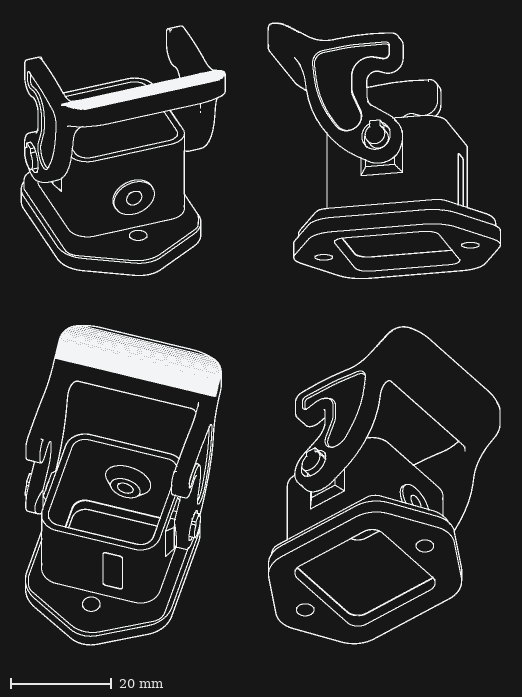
import cadquery as cq
import math

base_length = 41.95
base_width = 30.0
base_thickness = 3.0
base_nose_radius = 5.5
base_corner_radius = 6.5
tier_inset = 1.0
tier_top = 5.6
tier_nose_radius = 6.0
tier_corner_radius = 3.0
tier_edge_radius = 1.0
flank_angle = 60.0
mount_hole_diameter = 3.5
mount_hole_offset = 15.0

housing_side = 24.3
housing_top = 23.7
housing_corner_radius = 4.0
wall = 1.35
base_opening_inset = 0.15
opening_side = housing_side - 2 * wall

boss_z = 13.13
boss_outer_projection = 0.63
boss_outer_width = 8.57
boss_outer_height = 7.7
boss_tip_diameter = 6.1
boss_inner_projection = 2.0
boss_root_diameter = 9.35
boss_bore_diameter = 3.2

label_y = -3.55
label_z = 14.5
label_width = 4.0
label_height = 11.15
label_corner_radius = 0.63
label_depth = 0.1

lever_width = 33.3
arm_thickness = 3.1
arm_inner = lever_width / 2 - arm_thickness
pivot_z = 18.8
pivot_radius = 4.9
lever_edge_radius = 0.4
handle_inner_x = 15.5
handle_end_x = 23.58
handle_inner_corner_radius = 1.88
lever_top = 44.65
lever_back_x = -4.78
hook_tip_end_x = -2.9
hook_tip_height = 13.4

under_slope = 28.0
upper_slope = 33.0
notch_x = 2.7
valley_x = 11.6
valley_z = 39.3
ramp_slope = 0.62
crest_radius = 10.7
crest_x = valley_x + (lever_top - valley_z) / ramp_slope
outline_overrun = 2.25

pad_face = 13.5
pad_projection = pad_face - housing_side / 2
pad_half_width = 4.3
pad_bottom = 12.2
pad_top = 20.85
pin_length = 17.5
front_pin_diameter = 4.5
front_recess_diameter = 6.1
rear_pin_diameter = 4.0
rear_recess_diameter = 5.8
recess_depth = 2.0
key_width = 2.15
key_gap = 0.05

relief_width = 2.05
relief_depth = 1.05

pocket_depth = 0.5
pocket_taper = 28.0

groove_count = 20
groove_start_x = 15.8
groove_end_x = 22.5
groove_overlap_factor = 1.1


def rounded_outline(plane, corners):
    """Closed outline through (x, y, radius) corners; every corner is a tangent arc."""
    arcs = []
    for i, (x, y, radius) in enumerate(corners):
        before = corners[i - 1]
        after = corners[(i + 1) % len(corners)]
        corner = cq.Vector(x, y)
        to_before = (cq.Vector(before[0], before[1]) - corner).normalized()
        to_after = (cq.Vector(after[0], after[1]) - corner).normalized()
        half_angle = to_before.getAngle(to_after) / 2
        setback = radius / math.tan(half_angle)
        bisector = (to_before + to_after).normalized()
        middle = corner + bisector * (radius / math.sin(half_angle) - radius)
        arcs.append((corner + to_before * setback, middle, corner + to_after * setback))
    outline = cq.Workplane(plane).moveTo(arcs[0][0].x, arcs[0][0].y)
    for i, (start, middle, end) in enumerate(arcs):
        if i > 0 and (start - arcs[i - 1][2]).Length > 0.0005:
            outline = outline.lineTo(start.x, start.y)
        outline = outline.threePointArc((middle.x, middle.y), (end.x, end.y))
    return outline.close()


def hexagon_tier(length, width, nose_radius, corner_radius, height):
    """Elongated hexagon with its noses on the X axis, standing on Z = 0."""
    flank = math.radians(flank_angle)
    nose_x = length / 2 + nose_radius * (1 / math.sin(flank) - 1)
    corner_x = nose_x - width / 2 / math.tan(flank)
    corners = [
        (nose_x, 0, nose_radius),
        (corner_x, width / 2, corner_radius),
        (-corner_x, width / 2, corner_radius),
        (-nose_x, 0, nose_radius),
        (-corner_x, -width / 2, corner_radius),
        (corner_x, -width / 2, corner_radius),
    ]
    return rounded_outline("XY", corners).extrude(height)


def square_prism(side, corner_radius, bottom, top):
    prism = cq.Workplane("XY", origin=(0, 0, bottom)).rect(side, side).extrude(top - bottom)
    return prism.edges("|Z").fillet(corner_radius)


def cylinder_y(diameter, y_from, y_to):
    """Cylinder on the pivot axis."""
    plane = cq.Plane(origin=(0, y_from, pivot_z), xDir=(1, 0, 0), normal=(0, 1, 0))
    return cq.Workplane(plane).circle(diameter / 2).extrude(y_to - y_from)


def make_base():
    base = hexagon_tier(base_length, base_width, base_nose_radius, base_corner_radius, base_thickness)
    tier = hexagon_tier(
        base_length - 2 * tier_inset,
        base_width - 2 * tier_inset,
        tier_nose_radius,
        tier_corner_radius,
        tier_top,
    )
    base = base.union(tier.faces(">Z").edges().fillet(tier_edge_radius))
    holes = cq.Workplane("XY").pushPoints([(-mount_hole_offset, 0), (mount_hole_offset, 0)])
    return base.cut(holes.circle(mount_hole_diameter / 2).extrude(tier_top))


def make_pad():
    """Pivot pad on the -Y wall, bevelled at 45 degrees on its sides and underside."""
    height = pad_top - pad_bottom
    root_y = -housing_side / 2
    face_half_width = pad_half_width - pad_projection
    pad = (
        cq.Workplane("XY")
        .box(2 * pad_half_width, pad_projection + wall / 2, height, centered=(True, False, False))
        .translate((0, -pad_face, pad_bottom))
    )
    side_bevel = (
        cq.Workplane("XY", origin=(0, 0, pad_bottom))
        .polyline([(pad_half_width, root_y), (pad_half_width, -pad_face), (face_half_width, -pad_face)])
        .close()
        .extrude(height)
    )
    under_bevel = (
        cq.Workplane("YZ", origin=(-pad_half_width, 0, 0))
        .polyline([(root_y, pad_bottom), (-pad_face, pad_bottom), (-pad_face, pad_bottom + pad_projection)])
        .close()
        .extrude(2 * pad_half_width)
    )
    return pad.cut(side_bevel).cut(side_bevel.mirror("YZ")).cut(under_bevel)


def make_cable_boss():
    wall_x = housing_side / 2
    inner_x = opening_side / 2
    outer = (
        cq.Workplane("YZ", origin=(inner_x, 0, boss_z))
        .ellipse(boss_outer_width / 2, boss_outer_height / 2)
        .extrude(wall_x + boss_outer_projection - inner_x)
    )
    cone = (
        cq.Workplane("YZ", origin=(inner_x - boss_inner_projection, 0, boss_z))
        .circle(boss_tip_diameter / 2)
        .workplane(offset=boss_inner_projection)
        .circle(boss_root_diameter / 2)
        .loft(ruled=True)
    )
    return outer.union(cone)


def make_housing():
    housing = square_prism(housing_side, housing_corner_radius, 0, housing_top)
    pad = make_pad()
    body = make_base().union(housing).union(pad).union(pad.mirror("XZ"))
    cavity = square_prism(opening_side, housing_corner_radius - wall, base_thickness, housing_top)
    base_opening_side = opening_side - 2 * base_opening_inset
    base_opening = square_prism(base_opening_side, housing_corner_radius - wall, 0, housing_top)
    body = body.cut(cavity).cut(base_opening).union(make_cable_boss())
    bore = (
        cq.Workplane("YZ", origin=(opening_side / 2 - boss_inner_projection, 0, boss_z))
        .circle(boss_bore_diameter / 2)
        .extrude(boss_inner_projection + wall + boss_outer_projection)
    )
    label = (
        cq.Workplane("YZ", origin=(-housing_side / 2, label_y, label_z))
        .rect(label_width, label_height)
        .extrude(label_depth)
        .edges("|X")
        .fillet(label_corner_radius)
    )
    return body.cut(bore).cut(label)


def lever_profile():
    """Side outline of the lever in X and Z; it overruns the end of the handle, which is cut later."""
    under_corner_z = pivot_z - pivot_radius * math.tan(math.radians(45 + under_slope / 2))
    upper_corner_z = pivot_z + pivot_radius * math.tan(math.radians(45 - upper_slope / 2))
    belly_x = 13.13
    belly_z = under_corner_z + (belly_x + pivot_radius) * math.tan(math.radians(under_slope))
    notch_z = upper_corner_z + (notch_x + pivot_radius) * math.tan(math.radians(upper_slope))
    corners = [
        (lever_back_x, 39.95, 1.88),
        (2.7, 40.5, 49.1),
        (valley_x, valley_z, 8.05),
        (crest_x, lever_top, crest_radius),
        (handle_end_x + outline_overrun, lever_top, 0.22),
        (handle_end_x + outline_overrun, 40.8, 0.22),
        (15.55, 38.8, 10.25),
        (belly_x, belly_z, 18.75),
        (-pivot_radius, under_corner_z, pivot_radius),
        (-pivot_radius, upper_corner_z, pivot_radius),
        (notch_x, notch_z, 4.25),
        (notch_x, 34.05, 1.9),
        (lever_back_x, 31.4, 2.9),
    ]
    return rounded_outline("XZ", corners)


def pocket_outline():
    """Outline of the arm pocket in X and Z."""
    corners = [
        (-2.75, 38.18, 0.9),
        (5.35, 38.15, 26.8),
        (13.25, 37.15, 2.45),
        (12.05, 26.8, 20.1),
        (6.6, 19.3, 2.85),
        (2.15, 22.0, 2.85),
        (4.9, 28.3, 3.55),
        (4.9, 36.25, 3.55),
        (-2.75, 34.35, 1.15),
    ]
    return rounded_outline("XZ", corners)


def handle_plan():
    """Outline of the lever from above, with the free end of the handle rounded."""
    half = lever_width / 2
    bend_y = 11.4
    corner_x = 21.85
    back_x = -pivot_radius - outline_overrun
    corners = [
        (corner_x, half, 3.85),
        (handle_end_x, bend_y, 11.6),
        (handle_end_x, -bend_y, 11.6),
        (corner_x, -half, 3.85),
        (back_x, -half, 0.45),
        (back_x, half, 0.45),
    ]
    return rounded_outline("XY", corners)


def make_grip_grooves():
    """Contiguous V-grooves across the handle, evenly spaced along the crest of the profile."""
    ramp_angle = math.atan(ramp_slope)
    arc_end_x = crest_x + crest_radius * math.tan(ramp_angle / 2)
    arc_start_x = arc_end_x - crest_radius * math.sin(ramp_angle)
    ramp_length = (arc_start_x - groove_start_x) / math.cos(ramp_angle)
    arc_length = crest_radius * (ramp_angle - math.asin((arc_end_x - groove_end_x) / crest_radius))
    pitch = (ramp_length + arc_length) / (groove_count - 1)
    bar_side = groove_overlap_factor * pitch / math.sqrt(2)
    bar = cq.Workplane("XY").box(bar_side, lever_width, bar_side)
    grooves = cq.Workplane("XY")
    for i in range(groove_count):
        travel = i * pitch
        if travel < ramp_length:
            angle = ramp_angle
            x = groove_start_x + travel * math.cos(ramp_angle)
            z = valley_z + ramp_slope * (x - valley_x)
        else:
            angle = ramp_angle - (travel - ramp_length) / crest_radius
            x = arc_end_x - crest_radius * math.sin(angle)
            z = lever_top - crest_radius * (1 - math.cos(angle))
        turned_bar = bar.rotate((0, 0, 0), (0, 1, 0), 45 - math.degrees(angle))
        grooves = grooves.add(turned_bar.translate((x, 0, z)))
    return grooves.combine()


def make_lever():
    half = lever_width / 2
    lever = lever_profile().extrude(half, both=True)
    lever = lever.intersect(handle_plan().extrude(lever_top))
    lever = lever.faces("<Y or >Y").edges("not |Z").fillet(lever_edge_radius)
    throat = (
        cq.Workplane("XY")
        .rect(2 * handle_inner_x, 2 * arm_inner)
        .extrude(lever_top)
        .edges("|Z and >X")
        .fillet(handle_inner_corner_radius)
    )
    lever = lever.cut(throat)
    relief = (
        cq.Workplane("XY", origin=(0, 0, pivot_z - pivot_radius))
        .polyline([
            (-pivot_radius, -arm_inner),
            (-pivot_radius + relief_width, -arm_inner),
            (-pivot_radius, -arm_inner - relief_depth),
        ])
        .close()
        .extrude(2 * pivot_radius)
    )
    lever = lever.cut(relief).cut(relief.mirror("XZ"))

    tip_zone = (
        cq.Workplane("XY")
        .box(hook_tip_end_x - lever_back_x, lever_width, hook_tip_height, centered=(False, True, False))
        .translate((lever_back_x, 0, lever_top - hook_tip_height))
    )
    hook_tips = lever.intersect(tip_zone)
    edge_reach = lever_edge_radius / 2
    handle_zone = cq.selectors.BoxSelector(
        (handle_inner_x - edge_reach, -arm_inner, 0), (handle_inner_x + edge_reach, arm_inner, lever_top)
    )
    lever = lever.cut(tip_zone).edges("|Y").edges(handle_zone).fillet(lever_edge_radius)
    lever = lever.union(hook_tips)
    pocket = pocket_outline().extrude(pocket_depth, taper=pocket_taper).translate((0, half, 0))
    lever = lever.cut(pocket).cut(pocket.mirror("XZ"))
    return lever.cut(make_grip_grooves())


def add_pivot(body, side, pin_diameter, recess_diameter):
    """Recess the arm on one side (-1 front, +1 rear) and fit its keyed pin."""
    face = side * lever_width / 2
    body = body.cut(cylinder_y(recess_diameter, face - side * recess_depth, face))
    pin = cylinder_y(pin_diameter, side * housing_side / 2, side * pin_length)
    key_length = pin_length - lever_width / 2 + recess_depth
    key = (
        cq.Workplane("XY")
        .box(key_width, key_length, recess_diameter / 2 - key_gap, centered=(True, True, False))
        .translate((0, side * (pin_length - key_length / 2), pivot_z))
    )
    return body.union(pin).union(key)


lever = make_lever()
lever = add_pivot(lever, -1, front_pin_diameter, front_recess_diameter)
lever = add_pivot(lever, 1, rear_pin_diameter, rear_recess_diameter)
result = make_housing().union(lever)